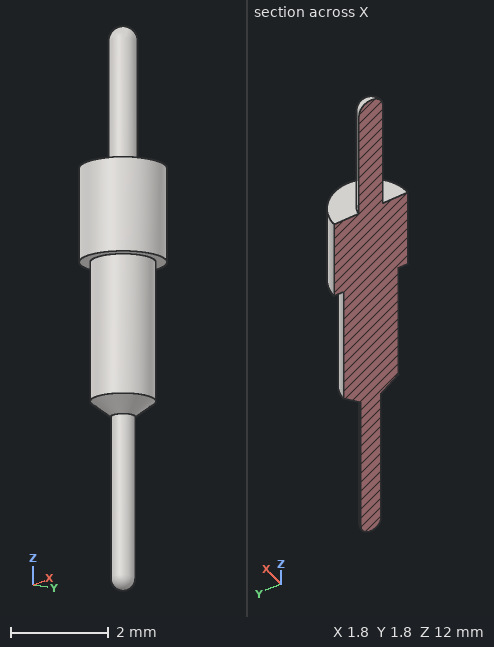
import cadquery as cq

total_height = 11.96
plunger_diameter = 0.6
collar_diameter = 1.8
barrel_diameter = 1.35
tail_diameter = 0.5

plunger_length = 3.0
collar_length = 2.0
barrel_length = 2.95
taper_length = 0.32

plunger_radius = plunger_diameter / 2
collar_radius = collar_diameter / 2
barrel_radius = barrel_diameter / 2
tail_radius = tail_diameter / 2

collar_top = total_height - plunger_length
collar_bottom = collar_top - collar_length
taper_top = collar_bottom - barrel_length
taper_bottom = taper_top - taper_length


def turned_body():
    """Collar, barrel and taper, revolved about the Z axis."""
    half_profile = (
        cq.Workplane("XZ")
        .moveTo(0, taper_bottom)
        .lineTo(tail_radius, taper_bottom)
        .lineTo(barrel_radius, taper_top)
        .lineTo(barrel_radius, collar_bottom)
        .lineTo(collar_radius, collar_bottom)
        .lineTo(collar_radius, collar_top)
        .lineTo(0, collar_top)
        .close()
    )
    return half_profile.revolve(360, (0, 0, 0), (0, 1, 0))


def domed_pin(radius, base_level, tip_level):
    """Round pin on the Z axis with a hemispherical tip, pointing up or down."""
    pointing_up = tip_level > base_level
    dome_base = tip_level - radius if pointing_up else tip_level + radius
    half_profile = (
        cq.Workplane("XZ")
        .moveTo(0, base_level)
        .lineTo(radius, base_level)
        .lineTo(radius, dome_base)
        .radiusArc((0, tip_level), -radius if pointing_up else radius)
        .close()
    )
    return half_profile.revolve(360, (0, 0, 0), (0, 1, 0))


plunger = domed_pin(plunger_radius, collar_top, total_height)
tail = domed_pin(tail_radius, taper_bottom, 0)

result = turned_body().union(plunger).union(tail)